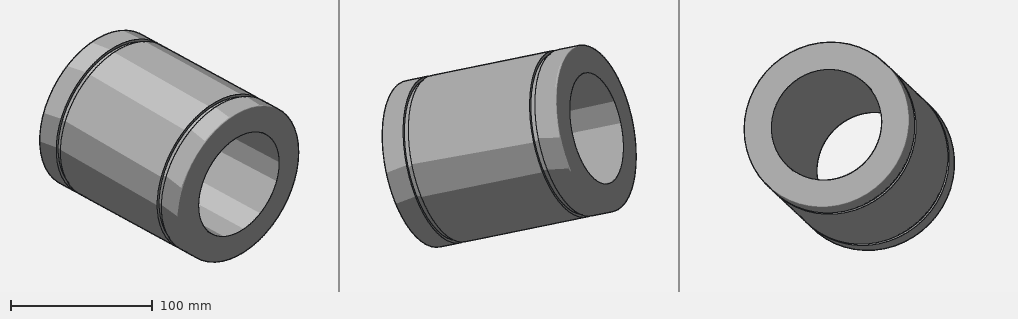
import cadquery as cq

length = 140.0
outer_diameter = 120.0
bore_diameter = 80.0

groove_diameter = 116.0
groove_width = 4.2
groove_outer_span = 105.5

edge_radius = 1.0


def ring(start_x, width, outer, inner):
    """Ring around the X axis that starts at start_x and extends toward +X."""
    return (
        cq.Workplane("YZ", origin=(start_x, 0, 0))
        .circle(outer / 2)
        .circle(inner / 2)
        .extrude(width)
    )


def sleeve():
    """Hollow cylinder with its outer end edges rounded."""
    cylinder = cq.Workplane("YZ", origin=(-length / 2, 0, 0)).circle(outer_diameter / 2).extrude(length)
    return cylinder.edges("%CIRCLE").fillet(edge_radius).faces(">X").workplane().hole(bore_diameter)


result = sleeve()
left_groove_start = -groove_outer_span / 2
right_groove_start = groove_outer_span / 2 - groove_width
for groove_start in (left_groove_start, right_groove_start):
    result = result.cut(ring(groove_start, groove_width, outer_diameter + groove_width, groove_diameter))